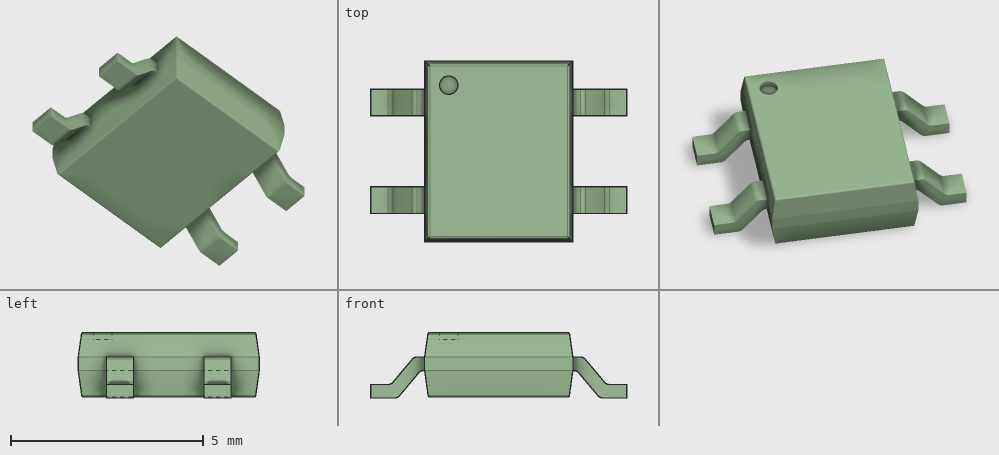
import cadquery as cq
import math

SPAN = 6.65
TOP_Z = 1.7

HOUSING_X = 3.85
HOUSING_Y = 4.7
STANDOFF = 0.025
DRAFT_ANGLE = 8.0
EDGE_RADIUS = 0.05

MARK_DIAMETER = 0.48
MARK_DEPTH = 0.18
MARK_X = -1.3
MARK_Y = 1.715

LEAD_THICKNESS = 0.36
LEAD_WIDTH = 0.7
LEAD_PITCH = 2.535
LEAD_TOP_Z = 1.07
FOOT_LENGTH = 0.53
BEND_ANGLE = 50.0
BEND_RADIUS = 0.165

BAND_TOP_Z = LEAD_TOP_Z
BAND_BOTTOM_Z = LEAD_TOP_Z - LEAD_THICKNESS


def make_housing():
    """Straight band with a tapered half above and below, and the pin-one mark."""
    band = (
        cq.Workplane("XY", origin=(0, 0, BAND_BOTTOM_Z))
        .rect(HOUSING_X, HOUSING_Y)
        .extrude(LEAD_THICKNESS)
    )
    upper = (
        cq.Workplane("XY", origin=(0, 0, BAND_TOP_Z))
        .rect(HOUSING_X, HOUSING_Y)
        .extrude(TOP_Z - BAND_TOP_Z, taper=DRAFT_ANGLE)
        .faces(">Z").edges().fillet(EDGE_RADIUS)
    )
    lower = (
        cq.Workplane("XY", origin=(0, 0, BAND_BOTTOM_Z))
        .rect(HOUSING_X, HOUSING_Y)
        .extrude(STANDOFF - BAND_BOTTOM_Z, taper=DRAFT_ANGLE)
        .faces("<Z").edges().fillet(EDGE_RADIUS)
    )
    mark = (
        cq.Workplane("XY", origin=(MARK_X, MARK_Y, TOP_Z - MARK_DEPTH))
        .circle(MARK_DIAMETER / 2)
        .extrude(MARK_DEPTH)
    )
    return band.union(upper).union(lower).cut(mark)


def make_lead(center_y):
    """Gull-wing lead on the -X side, from its tip to the housing band."""
    tip_x = -SPAN / 2
    housing_x = -HOUSING_X / 2
    bend_angle = math.radians(BEND_ANGLE)
    leg_run = (LEAD_TOP_Z - LEAD_THICKNESS) / math.tan(bend_angle)
    corner_shift = LEAD_THICKNESS * math.tan(bend_angle / 2)
    foot_corner_x = tip_x + FOOT_LENGTH
    arm_corner_x = foot_corner_x + leg_run

    lead = (
        cq.Workplane("XZ", origin=(0, center_y, 0))
        .moveTo(tip_x, 0)
        .lineTo(foot_corner_x + corner_shift, 0)
        .lineTo(arm_corner_x + corner_shift, BAND_BOTTOM_Z)
        .lineTo(housing_x, BAND_BOTTOM_Z)
        .lineTo(housing_x, LEAD_TOP_Z)
        .lineTo(arm_corner_x, LEAD_TOP_Z)
        .lineTo(foot_corner_x, LEAD_THICKNESS)
        .lineTo(tip_x, LEAD_THICKNESS)
        .close()
        .extrude(LEAD_WIDTH / 2, both=True)
    )
    bend_edges = lead.edges("|Y").edges("not(<X or >X)")
    return bend_edges.fillet(BEND_RADIUS)


housing = make_housing()

leads = []
for row_y in (-LEAD_PITCH / 2, LEAD_PITCH / 2):
    left_lead = make_lead(row_y)
    leads.append(left_lead.val())
    leads.append(left_lead.mirror("YZ").val())

result = cq.Compound.makeCompound([housing.val(), *leads])